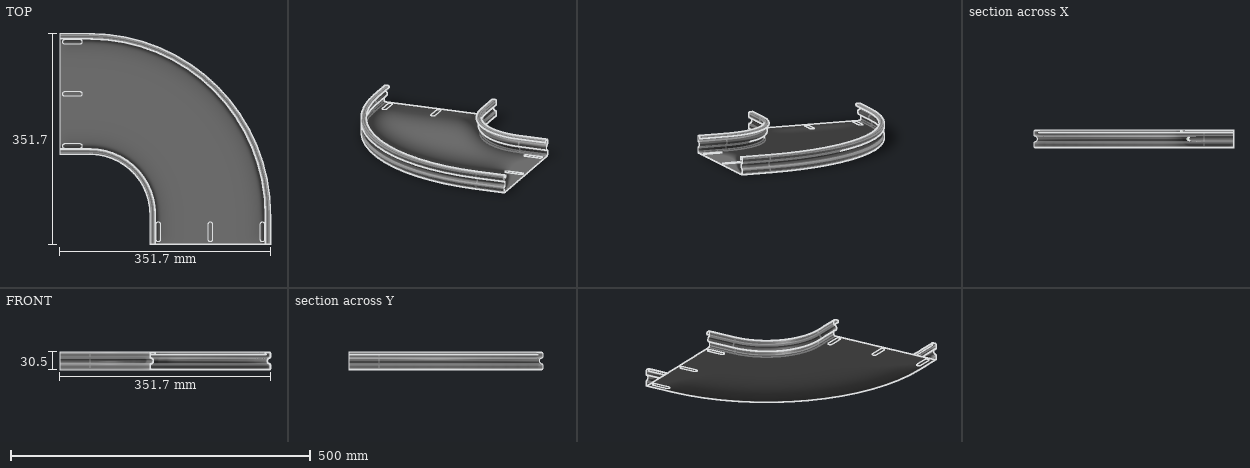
import cadquery as cq
import math

SIDE = 351.7
HEIGHT = 30.5
STRAIGHT = 50.0
TRAY_WIDTH = 201.5
SHEET = 1.0

CORNER_RADIUS = 3.0
GROOVE_DEPTH = 5.3
GROOVE_HALF_HEIGHT = 6.7
GROOVE_RADIUS = 4.5
FLANGE_FLAT = 4.0
LIP_RADIUS = 2.65
CURL_RADIUS = 3.0
CURL_ANGLE = 60

SLOT_LENGTH = 32.7
SLOT_WIDTH = 7.7
SLOT_PITCH = 87.0
SLOT_END_GAP = 4.5
SLOT_DEPTH = SHEET / 2

OUTER_RADIUS = SIDE - STRAIGHT
INNER_RADIUS = OUTER_RADIUS - TRAY_WIDTH
MID_RADIUS = (OUTER_RADIUS + INNER_RADIUS) / 2

GROOVE_ANGLE = 2 * math.degrees(math.atan(GROOVE_DEPTH / GROOVE_HALF_HEIGHT))
MOUTH_RADIUS = GROOVE_HALF_HEIGHT / math.sin(math.radians(GROOVE_ANGLE)) - GROOVE_RADIUS
WALL_FLAT = HEIGHT / 2 - GROOVE_HALF_HEIGHT - CORNER_RADIUS
FLANGE_WIDTH = CORNER_RADIUS + FLANGE_FLAT + LIP_RADIUS
FLOOR_FLAT = TRAY_WIDTH - 2 * CORNER_RADIUS


def line(length):
    return {"length": length}


def bend(radius, angle):
    """A bend of the outer face; a positive angle turns left, towards the inside of the tray."""
    return {"radius": radius, "angle": angle}


WALL = [
    bend(CORNER_RADIUS, 90),
    line(WALL_FLAT),
    bend(MOUTH_RADIUS, GROOVE_ANGLE),
    bend(GROOVE_RADIUS, -2 * GROOVE_ANGLE),
    bend(MOUTH_RADIUS, GROOVE_ANGLE),
    line(WALL_FLAT),
    bend(CORNER_RADIUS, 90),
    line(FLANGE_FLAT),
    bend(LIP_RADIUS, 90),
    bend(CURL_RADIUS, CURL_ANGLE),
]

SECTION = WALL[::-1] + [line(FLOOR_FLAT)] + WALL


def trace_face(inset):
    """Trace one face of the sheet, inset below the outer face, as (point on the way or None, end point)."""
    curl = math.radians(CURL_ANGLE)
    curl_reach = CURL_RADIUS - inset
    x = INNER_RADIUS + FLANGE_WIDTH - CURL_RADIUS + curl_reach * math.cos(curl)
    z = HEIGHT - LIP_RADIUS - curl_reach * math.sin(curl)
    heading = math.pi / 2 - curl
    steps = [(None, (x, z))]
    for step in SECTION:
        middle = None
        if "length" in step:
            x += step["length"] * math.cos(heading)
            z += step["length"] * math.sin(heading)
        else:
            turn = math.radians(step["angle"])
            radius = math.copysign(step["radius"], turn) - inset
            center_x = x - radius * math.sin(heading)
            center_z = z + radius * math.cos(heading)
            halfway = heading + turn / 2
            heading += turn
            middle = (center_x + radius * math.sin(halfway), center_z - radius * math.cos(halfway))
            x = center_x + radius * math.sin(heading)
            z = center_z - radius * math.cos(heading)
        steps.append((middle, (x, z)))
    return steps


def reverse_face(steps):
    """The same face traced from its far end back to its start."""
    middles = [None] + [middle for middle, _ in reversed(steps[1:])]
    ends = [end for _, end in reversed(steps)]
    return list(zip(middles, ends))


def section(plane):
    """Closed outline of the sheet: along the outer face and back along the inner one."""
    outline = trace_face(0) + reverse_face(trace_face(SHEET))
    sketch = cq.Workplane(plane).moveTo(*outline[0][1])
    for middle, end in outline[1:]:
        sketch = sketch.lineTo(*end) if middle is None else sketch.threePointArc(middle, end)
    return sketch.close()


def slots():
    """Slot cutters along both ends; the bend centre is at the origin."""
    along = -STRAIGHT + SLOT_END_GAP + SLOT_LENGTH / 2
    across = [MID_RADIUS + place * SLOT_PITCH for place in (-1, 0, 1)]
    floor = cq.Workplane("XY").workplane(offset=SHEET - SLOT_DEPTH)
    left_slots = floor.pushPoints([(along, y) for y in across]).slot2D(SLOT_LENGTH, SLOT_WIDTH, 0)
    front_slots = left_slots.pushPoints([(x, along) for x in across]).slot2D(SLOT_LENGTH, SLOT_WIDTH, 90)
    return front_slots.extrude(SLOT_DEPTH)


bend_run = section("XZ").revolve(90, (0, 0), (0, 1))
front_run = section("XZ").extrude(STRAIGHT)
left_run = section("YZ").extrude(-STRAIGHT)
result = bend_run.union(front_run).union(left_run).cut(slots())